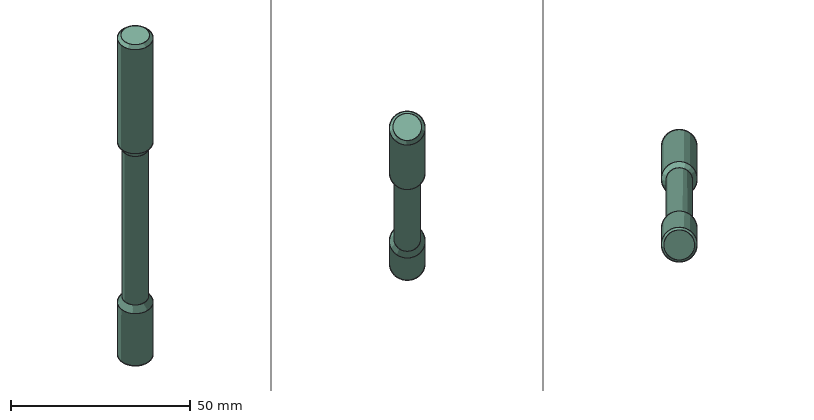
import math

import cadquery as cq

total_length = 120.0
end_diameter = 10.0
shank_diameter = 7.5
upper_end_length = 40.0
lower_end_length = 20.0
shoulder_slope = 30.0
upper_chamfer = 1.0
lower_chamfer_depth = 0.7
lower_chamfer_height = 0.4

end_radius = end_diameter / 2
shank_radius = shank_diameter / 2
upper_tip_radius = end_radius - upper_chamfer
lower_tip_radius = end_radius - lower_chamfer_depth


def cone_height(radial_step, slope):
    """Axial height of a cone that changes radius by radial_step."""
    return radial_step / math.tan(math.radians(slope))


top_z = total_length / 2
bottom_z = -total_length / 2
upper_shoulder_z = top_z - upper_end_length
lower_shoulder_z = bottom_z + lower_end_length
shoulder_height = cone_height(end_radius - shank_radius, shoulder_slope)


def turned_pin():
    """Half profile, as (radius, height), revolved about the Z axis."""
    profile = (
        cq.Workplane("XZ")
        .moveTo(0, bottom_z)
        .lineTo(lower_tip_radius, bottom_z)
        .lineTo(end_radius, bottom_z + lower_chamfer_height)
        .lineTo(end_radius, lower_shoulder_z)
        .lineTo(shank_radius, lower_shoulder_z + shoulder_height)
        .lineTo(shank_radius, upper_shoulder_z - shoulder_height)
        .lineTo(end_radius, upper_shoulder_z)
        .lineTo(end_radius, top_z - upper_chamfer)
        .lineTo(upper_tip_radius, top_z)
        .lineTo(0, top_z)
        .close()
    )
    return profile.revolve(360, (0, 0, 0), (0, 1, 0))


result = turned_pin()